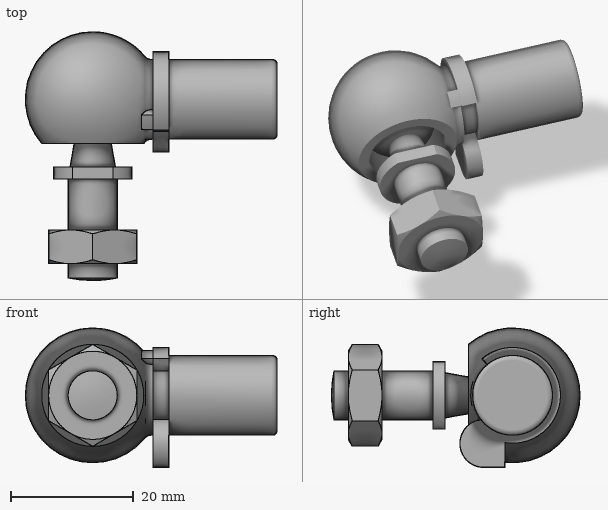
import cadquery as cq
import math


housing_radius = 11.0
housing_face_y = -7.2
ball_radius = 6.5
rod_radius = 6.5
rod_end_x = 30.05
rod_end_fillet = 0.8
neck_start_x = 8.62
neck_end_x = 9.6

cone_end_radius = 3.7
cone_half_angle = math.radians(10)
collar_start_y = -11.0
collar_end_y = -13.0
collar_radius = 6.4
collar_across_flats = 11.0
stud_radius = 4.0
stud_edge_y = -29.1
stud_tip_y = -29.52

nut_start_y = -21.27
nut_end_y = -26.77
nut_across_flats = 14.36
nut_chamfer_angle = math.radians(30)

clip_start_x = 9.8
clip_width = 2.6
clip_inner_radius = 5.2
clip_outer_radius = clip_inner_radius + clip_width
clip_end_angle = 50.0
nib_start_x = 7.97
nib_width = 2.65
nib_setback = 0.1
nib_outer_radius = 7.75
grip_radius = 3.9
grip_center_y = -4.7
grip_end_y = -1.25
grip_bottom_z = -11.75


def make_housing_and_stud():
    """Ball housing with its open socket and the stud, revolved about the Y axis."""
    face_radius = math.sqrt(housing_radius**2 - housing_face_y**2)

    slope = math.tan(cone_half_angle)
    apex_radius = cone_end_radius + slope * collar_start_y
    quad_a = 1 + slope**2
    quad_b = 2 * apex_radius * slope
    quad_c = apex_radius**2 - ball_radius**2
    cone_start_depth = (-quad_b + math.sqrt(quad_b**2 - 4 * quad_a * quad_c)) / (2 * quad_a)
    cone_start_radius = apex_radius + slope * cone_start_depth

    dome_height = stud_edge_y - stud_tip_y
    dome_radius = (stud_radius**2 + dome_height**2) / (2 * dome_height)
    dome_mid_x = stud_radius / 2
    dome_mid_y = stud_tip_y + dome_radius - math.sqrt(dome_radius**2 - dome_mid_x**2)

    ball_mid = ball_radius / math.sqrt(2)
    profile = (
        cq.Workplane("XY")
        .moveTo(0, housing_radius)
        .threePointArc((housing_radius, 0), (face_radius, housing_face_y))
        .lineTo(ball_radius, housing_face_y)
        .lineTo(ball_radius, 0)
        .threePointArc((ball_mid, -ball_mid), (cone_start_radius, -cone_start_depth))
        .lineTo(cone_end_radius, collar_start_y)
        .lineTo(collar_radius, collar_start_y)
        .lineTo(collar_radius, collar_end_y)
        .lineTo(stud_radius, collar_end_y)
        .lineTo(stud_radius, stud_edge_y)
        .threePointArc((dome_mid_x, dome_mid_y), (0, stud_tip_y))
        .close()
    )
    return profile.revolve(360, (0, 0, 0), (0, 1, 0))


def make_collar_flats():
    """Two blocks that trim the round collar to its wrench flats on +Z and -Z."""
    thickness = collar_start_y - collar_end_y
    flat_depth = collar_radius - collar_across_flats / 2
    flat_center_z = (collar_radius + collar_across_flats / 2) / 2
    center_y = (collar_start_y + collar_end_y) / 2
    block = cq.Workplane("XY").box(2 * collar_radius, thickness, flat_depth)
    upper = block.translate((0, center_y, flat_center_z))
    lower = block.translate((0, center_y, -flat_center_z))
    return upper.union(lower)


def make_nut():
    """Hexagon nut with corners on +Z and -Z, chamfered on both faces."""
    thickness = nut_start_y - nut_end_y
    corner_radius = nut_across_flats / 2 / math.cos(math.radians(30))
    flat_radius = nut_across_flats / 2
    chamfer_height = (corner_radius - flat_radius) * math.tan(nut_chamfer_angle)

    hexagon = (
        cq.Workplane("XZ", origin=(0, nut_start_y, 0))
        .transformed(rotate=(0, 0, 90))
        .polygon(6, 2 * corner_radius)
        .extrude(thickness)
    )
    envelope = (
        cq.Workplane("XY")
        .moveTo(0, nut_start_y)
        .lineTo(flat_radius, nut_start_y)
        .lineTo(corner_radius, nut_start_y - chamfer_height)
        .lineTo(corner_radius, nut_end_y + chamfer_height)
        .lineTo(flat_radius, nut_end_y)
        .lineTo(0, nut_end_y)
        .close()
        .revolve(360, (0, 0, 0), (0, 1, 0))
    )
    return hexagon.intersect(envelope)


def make_rod():
    """Grooved rod, blended into the housing sphere, revolved about the X axis."""
    neck_length = neck_end_x - neck_start_x
    neck_start_radius = math.sqrt(housing_radius**2 - neck_start_x**2)
    neck_rise = neck_start_radius - rod_radius
    neck_arc_radius = (neck_length**2 + neck_rise**2) / (2 * neck_rise)
    clip_end_x = clip_start_x + clip_width

    return (
        cq.Workplane("XY")
        .moveTo(ball_radius, 0)
        .lineTo(neck_start_x, neck_start_radius)
        .radiusArc((neck_end_x, rod_radius), -neck_arc_radius)
        .lineTo(clip_start_x, rod_radius)
        .lineTo(clip_start_x, clip_inner_radius)
        .lineTo(clip_end_x, clip_inner_radius)
        .lineTo(clip_end_x, rod_radius)
        .lineTo(rod_end_x, rod_radius)
        .lineTo(rod_end_x, 0)
        .close()
        .revolve(360, (0, 0, 0), (1, 0, 0))
        .faces(">X")
        .edges()
        .fillet(rod_end_fillet)
    )


def clip_plane(x):
    """Plane across the rod at x, with local axes along +Y and +Z."""
    return cq.Workplane("YZ", origin=(x, 0, 0))


def make_clip():
    """Spring clip: an open ring, a rounded grip below it and a nib toward the housing."""
    grip_center_z = grip_bottom_z + grip_radius
    grip_top_z = grip_center_z + grip_radius

    reach = 2 * clip_outer_radius
    end_angle = math.radians(180 - clip_end_angle)
    opening = (
        clip_plane(clip_start_x)
        .polyline([
            (0, 0),
            (reach * math.cos(end_angle), reach * math.sin(end_angle)),
            (-reach, -reach),
            (grip_end_y, -reach),
            (grip_end_y, 0),
        ])
        .close()
        .extrude(clip_width)
    )
    ring = clip_plane(clip_start_x).circle(clip_outer_radius).extrude(clip_width).cut(opening)

    grip = (
        clip_plane(clip_start_x)
        .moveTo(grip_end_y, grip_bottom_z)
        .lineTo(grip_center_y, grip_bottom_z)
        .threePointArc((grip_center_y - grip_radius, grip_center_z), (grip_center_y, grip_top_z))
        .lineTo(grip_end_y, grip_top_z)
        .close()
        .extrude(clip_width)
    )
    bore = clip_plane(clip_start_x).circle(clip_inner_radius).extrude(clip_width)
    body = ring.union(grip).cut(bore)

    nib_length = clip_start_x + clip_width - nib_start_x
    strip = (
        clip_plane(nib_start_x)
        .transformed(rotate=(0, 0, 180 - clip_end_angle))
        .moveTo(clip_inner_radius, -nib_setback)
        .lineTo(nib_outer_radius, -nib_setback)
        .lineTo(nib_outer_radius, -nib_setback - nib_width)
        .lineTo(clip_inner_radius, -nib_setback - nib_width)
        .close()
        .extrude(nib_length)
    )
    nib = strip.intersect(clip_plane(nib_start_x).circle(nib_outer_radius).extrude(nib_length))
    return body.union(nib)


result = (
    make_housing_and_stud()
    .cut(make_collar_flats())
    .union(make_nut())
    .union(make_rod())
    .union(make_clip())
)